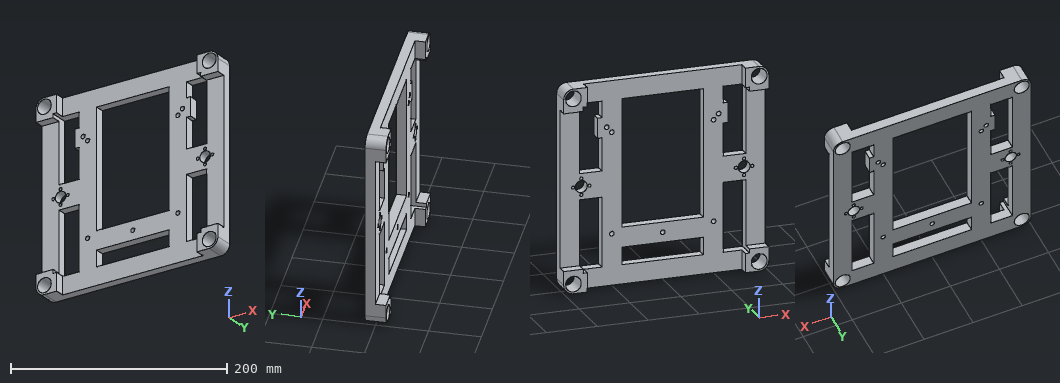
import cadquery as cq

frame_size = 201.74
half_size = frame_size / 2
plate_thickness = 10.0
overall_depth = 20.0

corner_hole_diameter = 15.2
corner_wall = 2.0
corner_radius = corner_hole_diameter / 2 + corner_wall
boss_margin = 4.0
boss_size = 2 * corner_radius + boss_margin
corner_hole_offset = half_size - corner_radius

rim_width = 2 * corner_radius
window_limit = half_size - rim_width
center_window_half_width = 40.0
side_window_width = 22.0
side_window_inner_x = window_limit - side_window_width
motor_bar_half_height = 13.0

crossbar_height = 20.0
slot_height = 17.0
crossbar_bottom = slot_height - window_limit
crossbar_top = crossbar_bottom + crossbar_height
crossbar_center_z = (crossbar_bottom + crossbar_top) / 2

tab_reach = 4.5
tab_height = 20.0
tab_center_z = 55.5

screw_hole_diameter = 4.4
board_hole_offset = 50.0
outer_hole_x = 55.0
outer_hole_z = tab_center_z

motor_x = 80.0
shaft_hole_diameter = 11.5
motor_screw_offset = 8.0
motor_screw_diameter = 3.0

SIDES = (-1, 1)
CORNERS = [(sx, sz) for sx in SIDES for sz in SIDES]


def block(x_range, z_range, depth):
    """Box between two X and two Z limits, from the back face (Y = 0) forward to -depth."""
    x_low, x_high = sorted(x_range)
    z_low, z_high = sorted(z_range)
    return cq.Workplane("XY").box(
        x_high - x_low, depth, z_high - z_low, centered=False
    ).translate((x_low, -depth, z_low))


def hole_cutters(points, diameter):
    """Cylinders along Y, through the full depth, at the given (x, z) points."""
    return cq.Workplane("XZ").pushPoints(points).circle(diameter / 2).extrude(overall_depth)


def make_blank():
    """Square plate with thicker corner bosses and rounded outer corners."""
    span = (-half_size, half_size)
    blank = block(span, span, plate_thickness)
    boss_inner = half_size - boss_size
    for sx, sz in CORNERS:
        x_range = (sx * boss_inner, sx * half_size)
        z_range = (sz * boss_inner, sz * half_size)
        blank = blank.union(block(x_range, z_range, overall_depth))
    envelope = block(span, span, overall_depth).edges("|Y").fillet(corner_radius)
    return blank.intersect(envelope)


def cut_windows(body):
    """Large center window, slot below the crossbar and four side windows."""
    center_span = (-center_window_half_width, center_window_half_width)
    body = body.cut(block(center_span, (crossbar_top, window_limit), overall_depth))
    body = body.cut(block(center_span, (-window_limit, crossbar_bottom), overall_depth))
    for sx, sz in CORNERS:
        x_range = (sx * side_window_inner_x, sx * window_limit)
        z_range = (sz * motor_bar_half_height, sz * window_limit)
        body = body.cut(block(x_range, z_range, overall_depth))
    return body


def add_tabs(body):
    """One tab on the outer side of each upright."""
    z_range = (tab_center_z - tab_height / 2, tab_center_z + tab_height / 2)
    for sx in SIDES:
        x_range = (sx * center_window_half_width, sx * (side_window_inner_x + tab_reach))
        body = body.union(block(x_range, z_range, plate_thickness))
    return body


def cut_corner_holes(body):
    points = [(sx * corner_hole_offset, sz * corner_hole_offset) for sx, sz in CORNERS]
    return body.cut(hole_cutters(points, corner_hole_diameter))


def cut_screw_holes(body):
    """Square pattern of four, plus two by the tabs and one in the crossbar."""
    points = [(sx * board_hole_offset, sz * board_hole_offset) for sx, sz in CORNERS]
    points += [(sx * outer_hole_x, outer_hole_z) for sx in SIDES]
    points.append((0, crossbar_center_z))
    return body.cut(hole_cutters(points, screw_hole_diameter))


def cut_motor_mounts(body):
    for sx in SIDES:
        center_x = sx * motor_x
        screw_points = [(center_x + side * motor_screw_offset, 0) for side in SIDES]
        screw_points += [(center_x, side * motor_screw_offset) for side in SIDES]
        body = body.cut(hole_cutters([(center_x, 0)], shaft_hole_diameter))
        body = body.cut(hole_cutters(screw_points, motor_screw_diameter))
    return body


result = make_blank()
result = cut_windows(result)
result = add_tabs(result)
result = cut_corner_holes(result)
result = cut_screw_holes(result)
result = cut_motor_mounts(result)